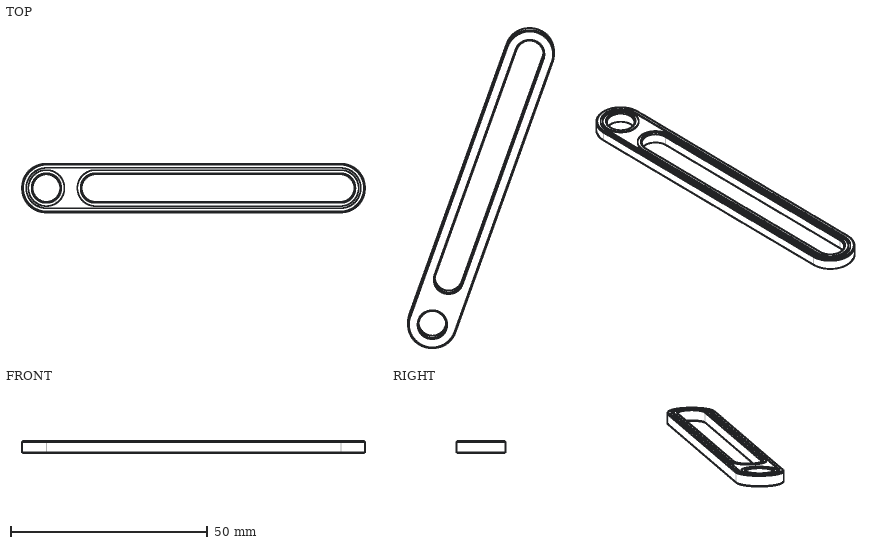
import cadquery as cq

WIDTH = 12.5
CENTER_DISTANCE = 75.0
THICKNESS = 3.125
EDGE_CHAMFER = 0.3

OPENING_WIDTH = 7.0
HOLE_X = -CENTER_DISTANCE / 2
SLOT_START_X = HOLE_X + WIDTH
SLOT_END_X = CENTER_DISTANCE / 2

RIM_WIDTH = 1.1
RECESS_DEPTH = 0.2
RECESS_WIDTH = WIDTH - 2 * RIM_WIDTH
OPENING_RIM_WIDTH = OPENING_WIDTH + 2 * RIM_WIDTH


def stadium(start_x, end_x, width, base_z, height):
    """Upright round-ended prism with its end centers at start_x and end_x."""
    center_distance = end_x - start_x
    return (
        cq.Workplane("XY", origin=((start_x + end_x) / 2, 0, base_z))
        .slot2D(center_distance + width, width)
        .extrude(height)
    )


def disc(center_x, diameter, base_z, height):
    """Upright cylinder centered on the bar's long axis."""
    return cq.Workplane("XY", origin=(center_x, 0, base_z)).circle(diameter / 2).extrude(height)


def make_bar():
    """Round-ended bar with both openings and every top and bottom edge chamfered."""
    bar = stadium(HOLE_X, SLOT_END_X, WIDTH, 0, THICKNESS)
    bar = bar.cut(disc(HOLE_X, OPENING_WIDTH, 0, THICKNESS))
    bar = bar.cut(stadium(SLOT_START_X, SLOT_END_X, OPENING_WIDTH, 0, THICKNESS))
    return bar.faces("<Z or >Z").edges().chamfer(EDGE_CHAMFER)


def make_recess():
    """Shallow top pocket that leaves a rim along the outline and around each opening."""
    floor_z = THICKNESS - RECESS_DEPTH
    recess = stadium(HOLE_X, SLOT_END_X, RECESS_WIDTH, floor_z, RECESS_DEPTH)
    recess = recess.cut(disc(HOLE_X, OPENING_RIM_WIDTH, floor_z, RECESS_DEPTH))
    return recess.cut(stadium(SLOT_START_X, SLOT_END_X, OPENING_RIM_WIDTH, floor_z, RECESS_DEPTH))


result = make_bar().cut(make_recess())